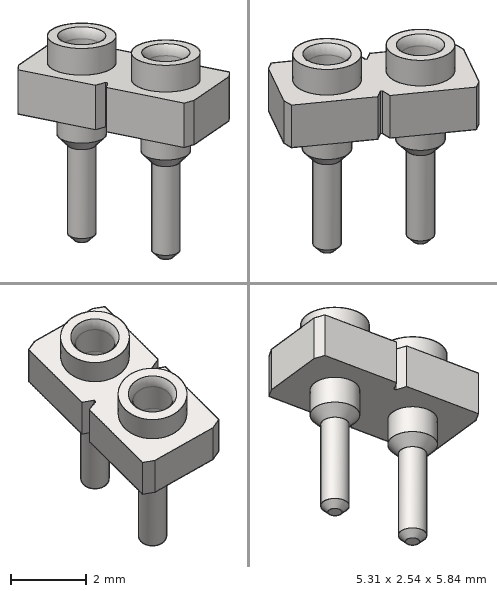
import cadquery as cq
import math

pitch = 2.54
housing_width = pitch
housing_length = 5.31
housing_bottom = 3.81
housing_height = pitch / 2
housing_top = housing_bottom + housing_height
chamfer_x = 0.14
chamfer_y = 0.305
notch_half_width = 0.165
notch_floor_half_width = 0.03
notch_depth = chamfer_y

pin_length = 5.84
head_radius = 1.83 / 2
neck_radius = 1.32 / 2
shank_radius = 0.76 / 2
neck_bottom = 3.03
shank_top = 2.735
tip_chamfer = 0.19

socket_radius = 1.05 / 2
lead_in_radius = 0.445
lead_in_depth = 0.3
taper_top = 4.67
taper_bottom = 3.21
taper_end_radius = 0.455 / 2
floor_radius = 0.03
floor_depth = 0.13


def make_housing():
    """Block with beveled corners, a V notch on each long side and two straight bores."""
    half_length = housing_length / 2
    half_width = housing_width / 2
    quarter = [
        (half_length, half_width - chamfer_y),
        (half_length - chamfer_x, half_width),
        (notch_half_width, half_width),
        (notch_floor_half_width, half_width - notch_depth),
    ]
    back_side = quarter + [(-x, y) for x, y in reversed(quarter)]
    front_side = [(-x, -y) for x, y in back_side]
    block = (
        cq.Workplane("XY")
        .workplane(offset=housing_bottom)
        .polyline(back_side + front_side)
        .close()
        .extrude(housing_height)
    )
    bores = (
        cq.Workplane("XY")
        .workplane(offset=housing_bottom)
        .pushPoints([(x, 0) for x in pin_positions])
        .circle(neck_radius)
        .extrude(housing_height)
    )
    return block.cut(bores)


def make_pin(x):
    """Turned pin: a head resting on the housing, a neck in its bore, a shank and a socket."""
    outer = (
        cq.Workplane("XZ")
        .lineTo(shank_radius - tip_chamfer, 0)
        .lineTo(shank_radius, tip_chamfer)
        .lineTo(shank_radius, shank_top)
        .lineTo(neck_radius, neck_bottom)
        .lineTo(neck_radius, housing_top)
        .lineTo(head_radius, housing_top)
        .lineTo(head_radius, pin_length)
        .lineTo(0, pin_length)
        .close()
        .revolve(360, (0, 0, 0), (0, 1, 0))
    )
    return outer.cut(make_socket()).translate((x, 0, 0))


def make_socket():
    """Cavity with a rounded lead-in, a straight bore, a steep taper and a shallow conical floor."""
    lead_in_bottom = pin_length - lead_in_depth
    arc_center_r = socket_radius + lead_in_radius

    def lead_in_point(depth_fraction):
        rise = lead_in_depth * depth_fraction
        r = arc_center_r - math.sqrt(lead_in_radius**2 - rise**2)
        return (r, lead_in_bottom + rise)

    return (
        cq.Workplane("XZ")
        .moveTo(0, taper_bottom - floor_depth)
        .lineTo(floor_radius, taper_bottom - floor_depth)
        .lineTo(taper_end_radius, taper_bottom)
        .lineTo(socket_radius, taper_top)
        .lineTo(socket_radius, lead_in_bottom)
        .threePointArc(lead_in_point(0.5), lead_in_point(1))
        .lineTo(0, pin_length)
        .close()
        .revolve(360, (0, 0, 0), (0, 1, 0))
    )


pin_positions = [-pitch / 2, pitch / 2]
housing = make_housing()
pins = [make_pin(x) for x in pin_positions]

result = cq.Compound.makeCompound([housing.val(), *[pin.val() for pin in pins]])